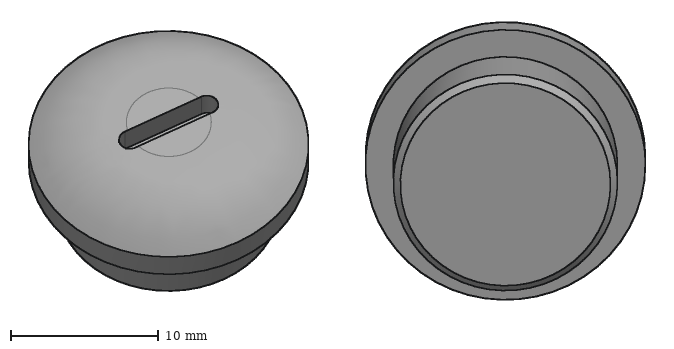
import cadquery as cq
import math

head_diameter = 19.0
total_height = 9.5
plug_diameter = 15.2
plug_height = 5.0
plug_chamfer = 0.48
rim_height = 2.0
crown_radius = 10.0
slot_width = 1.52
slot_length = 7.5
slot_depth = 2.0

head_radius = head_diameter / 2
plug_radius = plug_diameter / 2
rim_top = plug_height + rim_height
crown_height = total_height - rim_top

arc_center_z = total_height - crown_radius
flat_radius = head_radius - math.sqrt(crown_radius**2 - (crown_radius - crown_height) ** 2)
half_sweep = math.acos((crown_radius - crown_height) / crown_radius) / 2
arc_middle = (
    flat_radius + crown_radius * math.sin(half_sweep),
    arc_center_z + crown_radius * math.cos(half_sweep),
)


def make_body():
    """Revolve the half profile of plug, rim and domed crown about Z."""
    profile = (
        cq.Workplane("XZ")
        .moveTo(0, 0)
        .lineTo(plug_radius - plug_chamfer, 0)
        .lineTo(plug_radius, plug_chamfer)
        .lineTo(plug_radius, plug_height)
        .lineTo(head_radius, plug_height)
        .lineTo(head_radius, rim_top)
        .threePointArc(arc_middle, (flat_radius, total_height))
        .lineTo(0, total_height)
        .close()
    )
    return profile.revolve(360, (0, 0, 0), (0, 1, 0))


def make_slot():
    """Round-ended screwdriver slot along Y, cut down from the top."""
    return (
        cq.Workplane("XY")
        .workplane(offset=total_height - slot_depth)
        .slot2D(slot_length, slot_width, 90)
        .extrude(slot_depth)
    )


result = make_body().cut(make_slot())